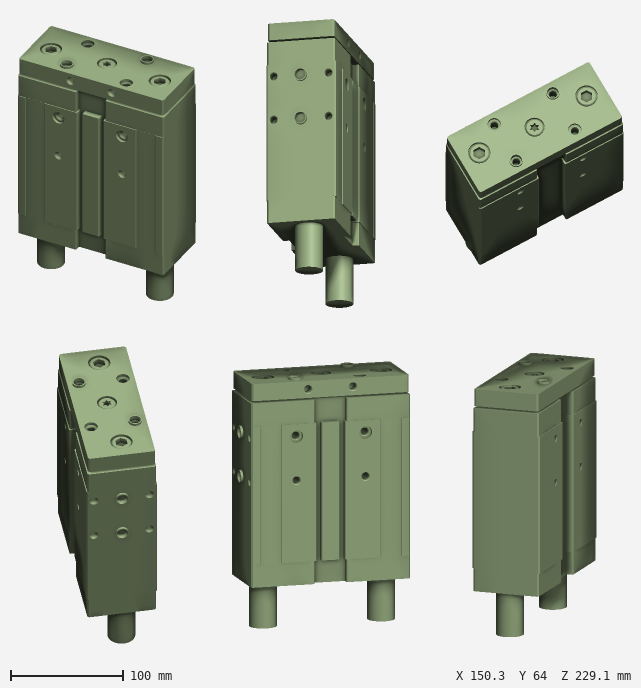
import cadquery as cq
import math

cap_height = 21.0
barrel_height = 126.0
plate_gap = 2.0
plate_height = 15.5
sleeve_stand_out = 2.3
guide_overhang = 41.3

barrel_bottom = cap_height
barrel_top = barrel_bottom + barrel_height
housing_top = barrel_top + cap_height
plate_bottom = housing_top + plate_gap
plate_top = plate_bottom + plate_height

housing_width = 148.0
barrel_depth = 64.0
cap_depth = 62.4
plate_width = 146.3
plate_depth = 61.0
corner_chamfer = 1.4

channel_floor_y = 25.5
cap_channel_width = 29.5
barrel_channel_width = 26.5
rib_width = 16.7
rib_setback = 1.0
edge_chamfer = 0.7
step_width = 20.2
step_offset = 56.0
step_depth = 0.7

guide_diameter = 25.0
guide_offset = 55.0
guide_y = -3.0
piston_rod_diameter = 16.0
guide_points = [(-guide_offset, guide_y), (guide_offset, guide_y)]

guide_recess_diameter = 20.0
guide_head_diameter = 18.0
piston_recess_diameter = 18.0
piston_head_diameter = 16.0
head_setback = 0.7
head_chamfer = 1.0
recess_depth = 2.8
hex_sides = 6
hex_flats = 10.0
star_outer_radius = 4.5
star_inner_radius = 2.8
star_points = 6
socket_depth = 6.0

sleeve_diameter = 12.0
sleeve_bore = 10.0
seat_depth = 2.8

thread_mouth = 8.0
thread_bore = 6.6
thread_depth = 10.0
drill_tip_angle = 118.0
mount_x = 32.0
mount_z = [136.0, 95.6]
side_hole_y = 25.2
plate_hole_x = 30.0
plate_hole_y = 20.0
plate_side_hole_x = 20.9
sleeve_points = [(-plate_hole_x, -plate_hole_y), (plate_hole_x, plate_hole_y)]
bare_seat_points = [(-plate_hole_x, plate_hole_y), (plate_hole_x, -plate_hole_y)]


def block(width, depth, height, bottom):
    """Upright block with chamfered vertical corners."""
    body = cq.Workplane("XY").box(width, depth, height, centered=(True, True, False))
    return body.edges("|Z").chamfer(corner_chamfer).translate((0, 0, bottom))


def cylinder(diameter, length, start, direction):
    """Cylinder running from a start point along a direction."""
    return cq.Workplane(cq.Solid.makeCylinder(diameter / 2, length, cq.Vector(*start), cq.Vector(*direction)))


def through_hole(start, direction, length):
    """Tapped hole of a given length: a chamfered mouth and a straight bore."""
    origin = cq.Vector(*start)
    axis = cq.Vector(*direction)
    mouth_depth = (thread_mouth - thread_bore) / 2
    mouth = cq.Solid.makeCone(thread_mouth / 2, thread_bore / 2, mouth_depth, origin, axis)
    return cylinder(thread_bore, length, start, direction).union(cq.Workplane(mouth))


def blind_hole(start, direction):
    """Tapped hole of the standard depth, ending in a conical drill tip."""
    axis = cq.Vector(*direction)
    tip_start = cq.Vector(*start) + axis * thread_depth
    tip_length = thread_bore / 2 / math.tan(math.radians(drill_tip_angle / 2))
    tip = cq.Solid.makeCone(thread_bore / 2, 0, tip_length, tip_start, axis)
    return through_hole(start, direction, thread_depth).union(cq.Workplane(tip))


def rod_bores(body, bottom, height):
    """Cut the two guide rod bores through a housing part."""
    for x, y in guide_points:
        body = body.cut(cylinder(guide_diameter, height, (x, y, bottom), (0, 0, 1)))
    return body


def face_channels(body, depth, channel_width, bottom, height):
    """Cut the central channel, with chamfered mouth edges, down the front and back of a housing part."""
    face = depth / 2
    wall = channel_width / 2
    mouth = wall + edge_chamfer
    profile = [(-wall, channel_floor_y), (-wall, face - edge_chamfer), (-mouth, face),
               (mouth, face), (wall, face - edge_chamfer), (wall, channel_floor_y)]
    channel = cq.Workplane("XY").polyline(profile).close().extrude(height).translate((0, 0, bottom))
    return body.cut(channel).cut(channel.mirror("XZ"))


def make_cap(bottom):
    cap = block(housing_width, cap_depth, cap_height, bottom)
    cap = face_channels(cap, cap_depth, cap_channel_width, bottom, cap_height)
    return rod_bores(cap, bottom, cap_height)


def make_barrel():
    front = -barrel_depth / 2
    left = -housing_width / 2
    barrel = block(housing_width, barrel_depth, barrel_height, barrel_bottom)
    barrel = face_channels(barrel, barrel_depth, barrel_channel_width, barrel_bottom, barrel_height)

    rib_front = front + rib_setback
    rib_height = abs(rib_front) - channel_floor_y
    rib = cq.Workplane("XY").box(rib_width, rib_height, barrel_height, centered=(True, False, False))
    rib = rib.faces("<Y").edges("|Z").chamfer(edge_chamfer)
    barrel = barrel.union(rib.translate((0, rib_front, barrel_bottom)))

    for side in (-1, 1):
        outer = step_width / 2
        inner = outer - step_depth
        profile = [(-outer, front), (-inner, front + step_depth), (inner, front + step_depth), (outer, front)]
        step = cq.Workplane("XY").polyline(profile).close().extrude(barrel_height)
        barrel = barrel.cut(step.translate((side * step_offset, 0, barrel_bottom)))

    barrel = rod_bores(barrel, barrel_bottom, barrel_height)
    barrel = barrel.cut(cylinder(piston_rod_diameter, barrel_height, (0, 0, barrel_bottom), (0, 0, 1)))

    upper_z, lower_z = mount_z
    for x in (-mount_x, mount_x):
        barrel = barrel.cut(through_hole((x, front, lower_z), (0, 1, 0), barrel_depth))
        barrel = barrel.cut(cylinder(sleeve_diameter, seat_depth, (x, front, upper_z), (0, 1, 0)))
        barrel = barrel.cut(through_hole((x, front + seat_depth, upper_z), (0, 1, 0), barrel_depth))

    for z in mount_z:
        barrel = barrel.cut(cylinder(sleeve_diameter, seat_depth, (left, 0, z), (1, 0, 0)))
        for y in (-side_hole_y, side_hole_y):
            barrel = barrel.cut(blind_hole((left, y, z), (1, 0, 0)))
    return barrel


def sunk_head(x, y, recess_diameter, head_diameter, socket):
    """Material to remove so that a chamfered screw head with a socket stays in the plate."""
    recess = cylinder(recess_diameter, recess_depth, (x, y, plate_top), (0, 0, -1))
    head = cylinder(head_diameter, recess_depth - head_setback, (x, y, plate_top - recess_depth), (0, 0, 1))
    head = head.faces(">Z").chamfer(head_chamfer)
    return recess.cut(head).union(socket.translate((x, y, plate_top - socket_depth)))


def make_hex_socket():
    corner_diameter = hex_flats / math.cos(math.pi / hex_sides)
    return cq.Workplane("XY").polygon(hex_sides, corner_diameter).extrude(socket_depth)


def make_star_socket():
    outline = []
    for i in range(2 * star_points):
        radius = star_outer_radius if i % 2 == 0 else star_inner_radius
        angle = i * math.pi / star_points
        outline.append((radius * math.cos(angle), radius * math.sin(angle)))
    return cq.Workplane("XY").polyline(outline).close().extrude(socket_depth)


def make_slide():
    """Yoke plate with its two guide rods and the piston rod."""
    slide = block(plate_width, plate_depth, plate_height, plate_bottom)
    for x, y in guide_points:
        length = plate_bottom + guide_overhang
        slide = slide.union(cylinder(guide_diameter, length, (x, y, -guide_overhang), (0, 0, 1)))
    rod_length = plate_bottom - barrel_bottom
    slide = slide.union(cylinder(piston_rod_diameter, rod_length, (0, 0, barrel_bottom), (0, 0, 1)))

    hex_socket = make_hex_socket()
    for x, y in guide_points:
        slide = slide.cut(sunk_head(x, y, guide_recess_diameter, guide_head_diameter, hex_socket))
    slide = slide.cut(sunk_head(0, 0, piston_recess_diameter, piston_head_diameter, make_star_socket()))

    for x, y in sleeve_points + bare_seat_points:
        slide = slide.cut(cylinder(sleeve_diameter, seat_depth, (x, y, plate_top), (0, 0, -1)))
        seat_floor = plate_top - seat_depth
        slide = slide.cut(through_hole((x, y, seat_floor), (0, 0, -1), seat_floor - plate_bottom))

    for x in (-plate_side_hole_x, plate_side_hole_x):
        mouth = (x, -plate_depth / 2, plate_bottom + plate_height / 2)
        slide = slide.cut(blind_hole(mouth, (0, 1, 0)))
    return slide


def make_sleeve(seat_floor, direction):
    """Ring standing in a seat and protruding from it."""
    length = seat_depth + sleeve_stand_out
    sleeve = cylinder(sleeve_diameter, length, seat_floor, direction)
    return sleeve.cut(cylinder(sleeve_bore, length, seat_floor, direction))


barrel = make_barrel()
bottom_cap = make_cap(0)
top_cap = make_cap(barrel_top)
top_cap = top_cap.cut(cylinder(piston_rod_diameter, cap_height, (0, 0, barrel_top), (0, 0, 1)))
slide = make_slide()

sleeves = []
for x, y in sleeve_points:
    sleeves.append(make_sleeve((x, y, plate_top - seat_depth), (0, 0, 1)))
for z in mount_z:
    seat_x = -housing_width / 2 + seat_depth
    sleeves.append(make_sleeve((seat_x, 0, z), (-1, 0, 0)))

result = cq.Compound.makeCompound(
    [barrel.val(), bottom_cap.val(), top_cap.val(), slide.val()] + [sleeve.val() for sleeve in sleeves]
)